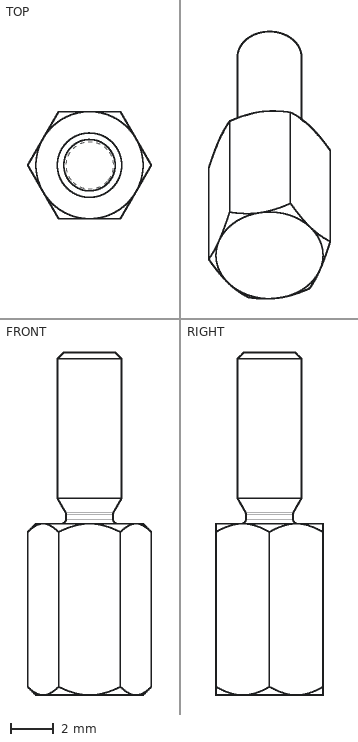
import cadquery as cq
import math

total_length = 16.0
hex_length = 8.0
hex_across_corners = 5.78
stud_diameter = 3.0
stud_tip_diameter = 2.4
neck_diameter = 2.2
stud_start_z = 9.18
runout_angle = 30.0
neck_fillet = 0.2

hex_across_flats = hex_across_corners * math.cos(math.radians(30))
corner_chamfer = (hex_across_corners - hex_across_flats) / 2
stud_radius = stud_diameter / 2
tip_radius = stud_tip_diameter / 2
tip_chamfer = stud_radius - tip_radius
neck_radius = neck_diameter / 2
neck_end_z = stud_start_z - (stud_radius - neck_radius) / math.tan(math.radians(runout_angle))


def hex_body():
    """Hexagonal body with its corners turned down to 45 degree cones at both ends."""
    hexagon = cq.Workplane("XY").polygon(6, hex_across_corners).extrude(hex_length)
    turned_envelope = (
        cq.Workplane("XY")
        .circle(hex_across_corners / 2)
        .extrude(hex_length)
        .faces("<Z or >Z")
        .chamfer(corner_chamfer)
    )
    return hexagon.intersect(turned_envelope)


def add_neck(profile):
    """Add the neck wall and the tangent arcs that blend it into the body and the runout cone."""
    arc_offset = neck_fillet * (1 - math.sin(math.radians(45)))
    profile = profile.lineTo(neck_radius + neck_fillet, hex_length).threePointArc(
        (neck_radius + arc_offset, hex_length + arc_offset),
        (neck_radius, hex_length + neck_fillet),
    )
    turn = math.radians(runout_angle)
    arc_start_z = neck_end_z - neck_fillet * math.tan(turn / 2)

    def arc_point(angle):
        return (
            neck_radius + neck_fillet * (1 - math.cos(angle)),
            arc_start_z + neck_fillet * math.sin(angle),
        )

    return profile.lineTo(neck_radius, arc_start_z).threePointArc(arc_point(turn / 2), arc_point(turn))


def stud():
    """Revolved stud with a necked root, a runout cone and a chamfered tip."""
    profile = add_neck(cq.Workplane("XZ").moveTo(0, hex_length))
    return (
        profile.lineTo(stud_radius, stud_start_z)
        .lineTo(stud_radius, total_length - tip_chamfer)
        .lineTo(tip_radius, total_length)
        .lineTo(0, total_length)
        .close()
        .revolve(360, (0, 0, 0), (0, 1, 0))
    )


result = hex_body().union(stud())